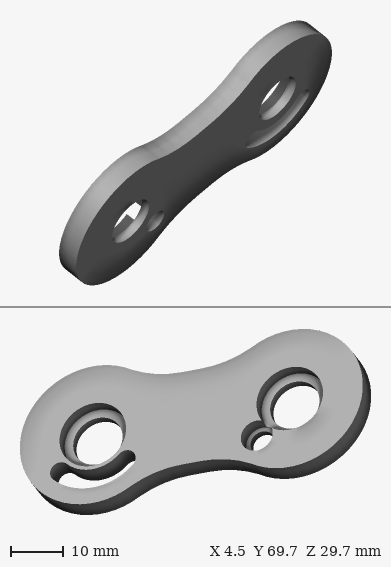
import cadquery as cq
import math

thickness = 4.5
length = 69.65
lobe_radius = 14.85
lobe_offset = length / 2 - lobe_radius
waist_half_height = 10.0
waist_half_flat = 2.0

bore_diameter = 10.0
seat_diameter = 13.5
seat_depth = 2.7

pitch_radius = 9.5
slot_width = 4.0
slot_half_angle = 45.0
pin_angle = 45.0
pin_diameter = 4.8
pin_seat_diameter = 6.5
pin_seat_depth = 3.0

blend_y = 12.1
blend_z = math.sqrt(lobe_radius**2 - (lobe_offset - blend_y) ** 2)
neck_run = blend_y - waist_half_flat
neck_rise = blend_z - waist_half_height
neck_radius = (neck_run**2 + neck_rise**2) / (2 * neck_rise)
neck_angle = math.asin(neck_run / neck_radius)
neck_mid_y = waist_half_flat + neck_radius * math.sin(neck_angle / 2)
neck_mid_z = waist_half_height + neck_radius * (1 - math.cos(neck_angle / 2))


def plate():
    return (
        cq.Workplane("YZ")
        .moveTo(-waist_half_flat, waist_half_height)
        .lineTo(waist_half_flat, waist_half_height)
        .threePointArc((neck_mid_y, neck_mid_z), (blend_y, blend_z))
        .threePointArc((length / 2, 0), (blend_y, -blend_z))
        .threePointArc((neck_mid_y, -neck_mid_z), (waist_half_flat, -waist_half_height))
        .lineTo(-waist_half_flat, -waist_half_height)
        .threePointArc((-neck_mid_y, -neck_mid_z), (-blend_y, -blend_z))
        .threePointArc((-length / 2, 0), (-blend_y, blend_z))
        .threePointArc((-neck_mid_y, neck_mid_z), (-waist_half_flat, waist_half_height))
        .close()
        .extrude(thickness)
    )


def stepped_hole(y, z, diameter, counterbore_diameter, depth):
    """Cutter for a through hole with a counterbore in the -X face."""
    through = cq.Workplane("YZ").center(y, z).circle(diameter / 2).extrude(thickness)
    seat = cq.Workplane("YZ").center(y, z).circle(counterbore_diameter / 2).extrude(depth)
    return through.union(seat)


def polar_point(radius, angle):
    """Point about the +Y lobe centre; angle in degrees from +Y towards +Z."""
    radians = math.radians(angle)
    return (lobe_offset + radius * math.cos(radians), radius * math.sin(radians))


def curved_slot():
    """Cutter for the round-ended slot centred below the +Y bearing hole."""
    inner_radius = pitch_radius - slot_width / 2
    outer_radius = pitch_radius + slot_width / 2
    down = -90.0
    start = down - slot_half_angle
    end = down + slot_half_angle
    band = (
        cq.Workplane("YZ")
        .moveTo(*polar_point(inner_radius, start))
        .threePointArc(polar_point(inner_radius, down), polar_point(inner_radius, end))
        .lineTo(*polar_point(outer_radius, end))
        .threePointArc(polar_point(outer_radius, down), polar_point(outer_radius, start))
        .close()
        .extrude(thickness)
    )
    end_centres = [polar_point(pitch_radius, start), polar_point(pitch_radius, end)]
    ends = cq.Workplane("YZ").pushPoints(end_centres).circle(slot_width / 2).extrude(thickness)
    return band.union(ends)


pin_step = pitch_radius * math.sin(math.radians(pin_angle))
pin_y = -lobe_offset + pin_step
pin_z = -pin_step

result = plate()
for bearing_y in (-lobe_offset, lobe_offset):
    result = result.cut(stepped_hole(bearing_y, 0, bore_diameter, seat_diameter, seat_depth))
result = result.cut(stepped_hole(pin_y, pin_z, pin_diameter, pin_seat_diameter, pin_seat_depth))
result = result.cut(curved_slot())
result = result.translate((-thickness / 2, 0, 0))